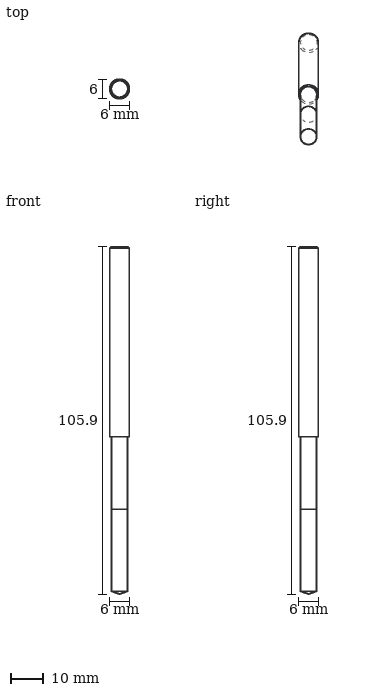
import cadquery as cq
import math

overall_length = 105.9
shank_diameter = 6.0
drill_diameter = 5.0
shoulder_height = 48.0
cutting_length = 26.0
point_angle = 140.0
shank_chamfer = 0.5

drill_radius = drill_diameter / 2
point_height = drill_radius / math.tan(math.radians(point_angle / 2))


def make_cutting_part():
    """Cylinder with a conical point, revolved about Z."""
    half_profile = (
        cq.Workplane("XZ")
        .moveTo(0, 0)
        .lineTo(drill_radius, point_height)
        .lineTo(drill_radius, cutting_length)
        .lineTo(0, cutting_length)
        .close()
    )
    return half_profile.revolve(360, (0, 0, 0), (0, 1, 0))


def make_holder():
    """Neck that continues the cutting part, stepping up to a chamfered shank."""
    neck = (
        cq.Workplane("XY")
        .workplane(offset=cutting_length)
        .circle(drill_radius)
        .extrude(shoulder_height - cutting_length)
    )
    shank = (
        cq.Workplane("XY")
        .workplane(offset=shoulder_height)
        .circle(shank_diameter / 2)
        .extrude(overall_length - shoulder_height)
        .faces(">Z")
        .chamfer(shank_chamfer)
    )
    return neck.union(shank)


cutting_part = make_cutting_part()
holder = make_holder()

result = cq.Compound.makeCompound([cutting_part.val(), holder.val()])